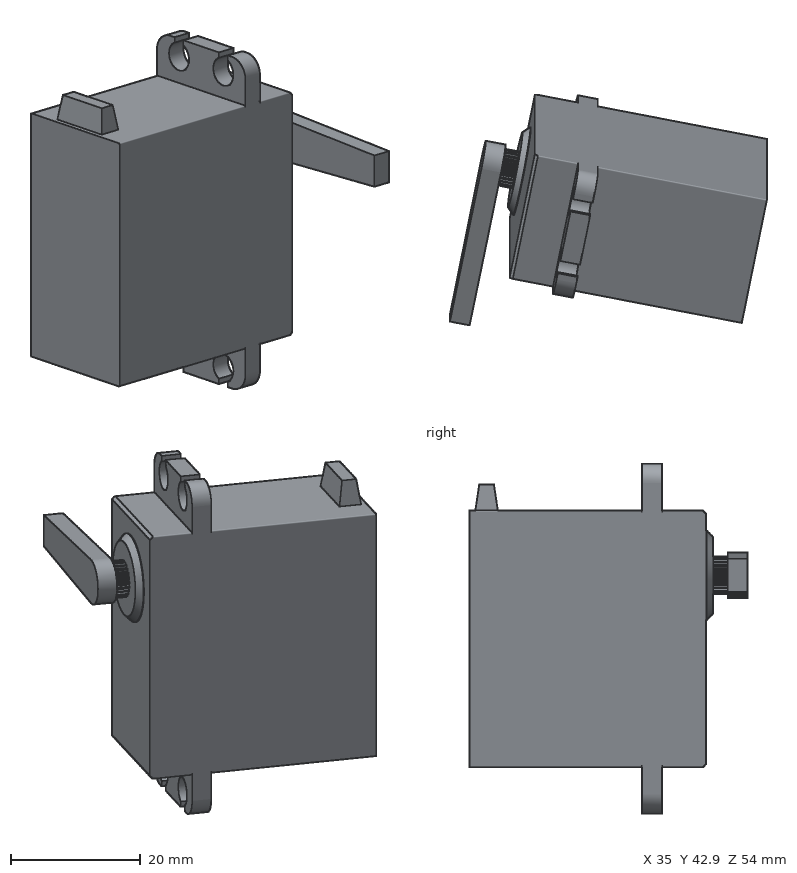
import cadquery as cq
import math

CASE_WIDTH = 20.0
CASE_DEPTH = 36.5
CASE_HEIGHT = 39.6
FRONT_CHAMFER = 0.5
LONG_EDGE_RADIUS = 0.2

OVERALL_HEIGHT = 54.0
EAR_THICKNESS = 3.1
EAR_SETBACK = 6.8
EAR_CORNER_RADIUS = 3.0
HOLE_DIAMETER = 4.5
HOLE_SPACING = 10.0
HOLE_END_DISTANCE = 2.9
SLOT_WIDTH = 2.0

SHAFT_END_DISTANCE = 10.0
COLLAR_RADIUS = 6.9
COLLAR_HEIGHT = 1.1
COLLAR_CHAMFER = 1.0
SPLINE_RADIUS = 2.9
SPLINE_TOOTH_DEPTH = 0.3
SPLINE_TEETH = 25
SPLINE_LENGTH = 2.2

HORN_THICKNESS = 3.1
HORN_HUB_RADIUS = 3.55
HORN_REACH = 25.0
HORN_TIP_WIDTH = 5.1

BOSS_WIDTH = 10.0
BOSS_DEPTH = 3.5
BOSS_HEIGHT = 4.0
BOSS_TOP_INSET = 0.6
BOSS_BACK_GAP = 0.9

SHAFT_Z = CASE_HEIGHT / 2 - SHAFT_END_DISTANCE


def shaft_plane(y):
    """Sketch plane on the shaft axis at y: local x is X, local y is Z, extruding toward -Y."""
    return cq.Workplane("XZ", origin=(0, y, SHAFT_Z))


def make_case():
    case = cq.Workplane("XY").box(CASE_WIDTH, CASE_DEPTH, CASE_HEIGHT)
    case = case.translate((0, -CASE_DEPTH / 2, 0))
    case = case.faces(">Y").edges("|X").chamfer(FRONT_CHAMFER)
    return case.edges("|Y").fillet(LONG_EDGE_RADIUS)


def make_ears():
    """One plate running through the case, with open keyhole slots at both ends."""
    front_y = -EAR_SETBACK
    plate = cq.Workplane("XZ", origin=(0, front_y, 0)).rect(CASE_WIDTH, OVERALL_HEIGHT)
    plate = plate.extrude(EAR_THICKNESS).edges("|Y").fillet(EAR_CORNER_RADIUS)
    hole_z = OVERALL_HEIGHT / 2 - HOLE_END_DISTANCE
    for x in (-HOLE_SPACING / 2, HOLE_SPACING / 2):
        for side in (-1, 1):
            hole_plane = cq.Workplane("XZ", origin=(x, front_y, side * hole_z))
            hole = hole_plane.circle(HOLE_DIAMETER / 2).extrude(EAR_THICKNESS)
            slot = hole_plane.center(0, side * HOLE_END_DISTANCE / 2)
            slot = slot.rect(SLOT_WIDTH, HOLE_END_DISTANCE).extrude(EAR_THICKNESS)
            plate = plate.cut(hole).cut(slot)
    return plate


def make_collar():
    collar = shaft_plane(COLLAR_HEIGHT).circle(COLLAR_RADIUS).extrude(COLLAR_HEIGHT)
    return collar.faces(">Y").chamfer(COLLAR_CHAMFER)


def make_spline():
    """Shaft with straight-sided teeth; crests, flanks and roots each take a quarter of the pitch."""
    root_radius = SPLINE_RADIUS - SPLINE_TOOTH_DEPTH
    tooth_radii = (SPLINE_RADIUS, SPLINE_RADIUS, root_radius, root_radius)
    pitch = 2 * math.pi / SPLINE_TEETH
    points = []
    for tooth in range(SPLINE_TEETH):
        for corner, radius in enumerate(tooth_radii):
            angle = pitch * (tooth + corner / len(tooth_radii))
            points.append((radius * math.cos(angle), radius * math.sin(angle)))
    return shaft_plane(COLLAR_HEIGHT + SPLINE_LENGTH).polyline(points).close().extrude(SPLINE_LENGTH)


def make_horn():
    """Arm with a round hub end, narrowing toward its square tip."""
    tip = HORN_TIP_WIDTH / 2
    outline = (
        shaft_plane(COLLAR_HEIGHT + SPLINE_LENGTH + HORN_THICKNESS)
        .moveTo(0, HORN_HUB_RADIUS)
        .threePointArc((-HORN_HUB_RADIUS, 0), (0, -HORN_HUB_RADIUS))
        .lineTo(HORN_REACH, -tip)
        .lineTo(HORN_REACH, tip)
        .close()
    )
    return outline.extrude(HORN_THICKNESS)


def make_boss():
    centre_y = -CASE_DEPTH + BOSS_BACK_GAP + BOSS_DEPTH / 2
    boss = cq.Workplane("XY", origin=(0, centre_y, CASE_HEIGHT / 2)).rect(BOSS_WIDTH, BOSS_DEPTH)
    top = boss.workplane(offset=BOSS_HEIGHT)
    return top.rect(BOSS_WIDTH - 2 * BOSS_TOP_INSET, BOSS_DEPTH - 2 * BOSS_TOP_INSET).loft()


result = make_case()
for feature in (make_ears(), make_collar(), make_spline(), make_horn(), make_boss()):
    result = result.union(feature)